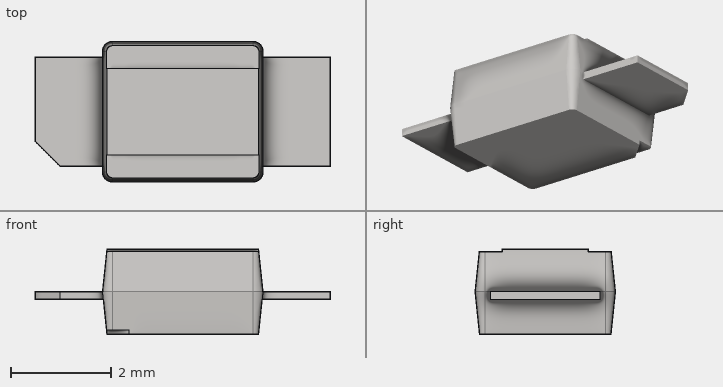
import cadquery as cq
import math

housing_length = 3.2
housing_width = 2.8
corner_radius = 0.2
draft_angle = 6.0
housing_height = 1.7

band_width = 1.715
band_height = 0.05

mark_leg = 0.435
mark_depth = 0.09

lead_length = 5.88
lead_width = 2.175
lead_thickness = 0.15
lead_chamfer = 0.5

half_height = housing_height / 2
shoulder_z = housing_height - band_height
draft_slope = math.tan(math.radians(draft_angle))
lower_inset = half_height * draft_slope


def drafted_half(height):
    """Half of the housing, tapering away from the parting plane; a negative height goes down."""
    outline = cq.Sketch().rect(housing_length, housing_width).vertices().fillet(corner_radius)
    return (
        cq.Workplane("XY", origin=(0, 0, half_height))
        .placeSketch(outline)
        .extrude(height, taper=draft_angle)
    )


def make_shoulder_cuts():
    """Two strips along X, one on each side of the band."""
    strip_width = (housing_width - band_width) / 2
    strip_y = (housing_width + band_width) / 4
    return (
        cq.Workplane("XY", origin=(0, 0, shoulder_z))
        .pushPoints([(0, -strip_y), (0, strip_y)])
        .rect(housing_length, strip_width)
        .extrude(band_height)
    )


def make_corner_mark():
    """Triangular cutter whose slanted side clips the -X, -Y corner of the underside."""
    corner_x = -housing_length / 2 + lower_inset
    corner_y = -housing_width / 2 + lower_inset
    overhang = corner_radius
    outer_x = corner_x - overhang
    outer_y = corner_y - overhang
    outer_leg = mark_leg + 2 * overhang
    return (
        cq.Workplane("XY")
        .polyline([(outer_x, outer_y), (outer_x + outer_leg, outer_y), (outer_x, outer_y + outer_leg)])
        .close()
        .extrude(mark_depth)
    )


def make_lead():
    """Flat strip with its top on the parting plane and one corner clipped."""
    return (
        cq.Workplane("XY", origin=(0, 0, half_height - lead_thickness))
        .rect(lead_length, lead_width)
        .extrude(lead_thickness)
        .edges("|Z")
        .edges("<X")
        .edges("<Y")
        .chamfer(lead_chamfer)
    )


def make_housing(lead_plate):
    """Housing with the band, the corner mark and a slot that fits the lead plate."""
    body = drafted_half(half_height).union(drafted_half(-half_height))
    return body.cut(make_shoulder_cuts()).cut(make_corner_mark()).cut(lead_plate)


lead = make_lead()
housing = make_housing(lead)

result = cq.Compound.makeCompound([housing.solids().val(), lead.val()])